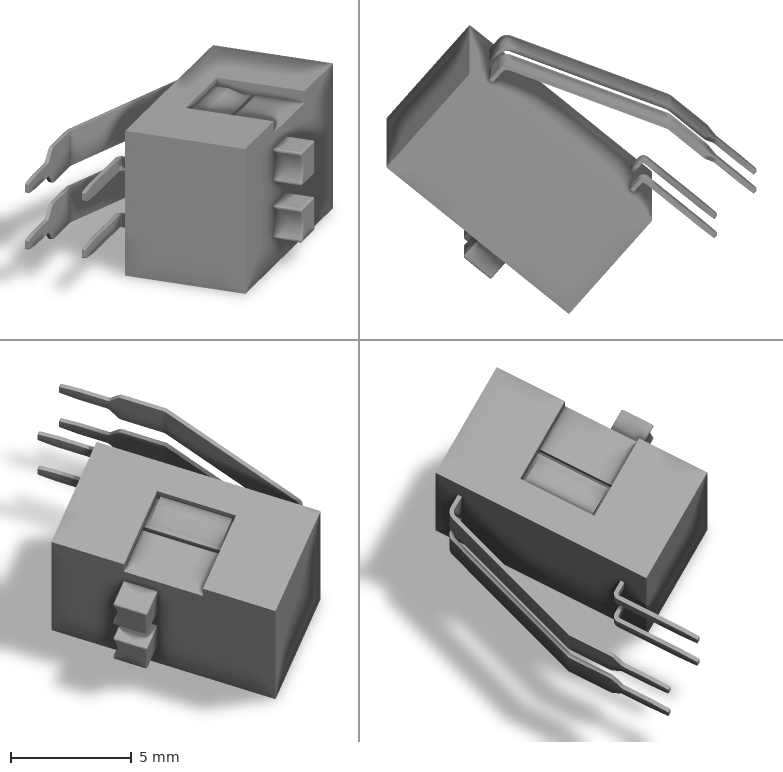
import cadquery as cq
import math


HOUSING_X = 5.34
HOUSING_Y = 9.9
HOUSING_Z = 6.5

PITCH = 2.54
POSITION_HEIGHTS = [-PITCH / 2, PITCH / 2]

POCKET_START_X = 1.43
POCKET_Y = 3.49
POCKET_DEPTH = 0.54

GROOVE_START_X = 2.95
GROOVE_WIDTH = 0.19
GROOVE_DEPTH = 0.25

WEDGE_Y = 3.17
WEDGE_HEIGHT = 0.22
WEDGE_LEVEL_LENGTH = 0.57
WEDGE_RAMP_LENGTH = 0.76

KNOB_SIDE = 1.5
KNOB_REACH = 1.25
KNOB_Y = -1.02
KNOB_ROUND = 0.08
SCOOP_Z = 1.27
SCOOP_DEPTH = 0.18

SHEET = 0.18
OVERALL_Y = 12.74
TIP_Y = HOUSING_Y / 2 - OVERALL_Y
PIN_WIDTH = 0.57
TIP_WIDTH = 0.42
TAPER_LENGTH = 0.83
TIP_ROUND = 0.08

LONG_OUTER_X = -3.34
LONG_ROOT_Y = 3.9
LONG_KNEE_Y = -3.08
LONG_ELBOW_X = -0.94
LONG_BEND_RADIUS = 0.25
LONG_WIDTH = 1.58
SHOULDER_START = 2.68
SHOULDER_END = 2.2
SHOULDER_ROUND = 0.25

SHORT_OUTER_X = -0.8
SHORT_ROOT_Y = -3.75
SHORT_BEND_RADIUS = 0.1


def cut_pocket(body):
    """Open the top pocket, sink the groove in its floor and leave the wedge standing."""
    floor_z = HOUSING_Z / 2 - POCKET_DEPTH
    pocket = cq.Workplane("XY").box(
        HOUSING_X - POCKET_START_X, POCKET_Y, POCKET_DEPTH, centered=(False, True, False)
    ).translate((POCKET_START_X, 0, floor_z))
    groove = cq.Workplane("XY").box(
        GROOVE_WIDTH, POCKET_Y, GROOVE_DEPTH, centered=(False, True, False)
    ).translate((GROOVE_START_X, 0, floor_z - GROOVE_DEPTH))
    ramp_start_x = POCKET_START_X + WEDGE_LEVEL_LENGTH
    ramp_end_x = ramp_start_x + WEDGE_RAMP_LENGTH
    wedge = (
        cq.Workplane("XZ")
        .moveTo(POCKET_START_X, floor_z)
        .lineTo(POCKET_START_X, floor_z + WEDGE_HEIGHT)
        .lineTo(ramp_start_x, floor_z + WEDGE_HEIGHT)
        .lineTo(ramp_end_x, floor_z)
        .close()
        .extrude(WEDGE_Y / 2, both=True)
    )
    return body.cut(pocket).cut(groove).union(wedge)


def make_knob(height):
    """Square knob with rounded outer edges and a cylindrical scoop along its -Y face."""
    knob = (
        cq.Workplane("YZ", origin=(HOUSING_X, KNOB_Y, height))
        .rect(KNOB_SIDE, KNOB_SIDE)
        .extrude(KNOB_REACH)
        .edges("|X")
        .fillet(KNOB_ROUND)
    )
    scoop_radius = ((SCOOP_Z / 2) ** 2 + SCOOP_DEPTH**2) / (2 * SCOOP_DEPTH)
    scoop_y = KNOB_Y - KNOB_SIDE / 2 + SCOOP_DEPTH - scoop_radius
    scoop = (
        cq.Workplane("YZ", origin=(HOUSING_X, scoop_y, height))
        .circle(scoop_radius)
        .extrude(KNOB_REACH)
    )
    return knob.cut(scoop).faces(">X").edges().fillet(KNOB_ROUND)


def make_housing():
    """Block with its top pocket and the two knobs."""
    body = cq.Workplane("XY").box(HOUSING_X, HOUSING_Y, HOUSING_Z, centered=(False, True, True))
    body = cut_pocket(body)
    for height in POSITION_HEIGHTS:
        body = body.union(make_knob(height))
    return body


def inner_corner(before, corner, after):
    """Corner of the inner face, one sheet thickness to the right of the path before-corner-after."""
    angle_in = math.atan2(corner[1] - before[1], corner[0] - before[0])
    angle_out = math.atan2(after[1] - corner[1], after[0] - corner[0])
    towards_inside = (angle_in + angle_out) / 2 - math.pi / 2
    reach = SHEET / math.cos((angle_out - angle_in) / 2)
    return (
        corner[0] + reach * math.cos(towards_inside),
        corner[1] + reach * math.sin(towards_inside),
    )


def make_strip(outer_path, width, bend_radius):
    """Bent sheet strip from the tip up to the housing; the path follows its outer face in XY."""
    outer_corners = outer_path[1:-1]
    inner_corners = [inner_corner(*outer_path[i : i + 3]) for i in range(len(outer_corners))]
    tip_x, tip_y = outer_path[0]
    root_x, root_y = outer_path[-1]
    inner_path = [(tip_x + SHEET, tip_y), *inner_corners, (root_x, root_y - SHEET)]
    strip = cq.Workplane("XY").polyline(outer_path + inner_path[::-1]).close().extrude(width / 2, both=True)
    for corners, radius in ((outer_corners, bend_radius + SHEET), (inner_corners, bend_radius)):
        for x, y in corners:
            strip = strip.edges(cq.NearestToPointSelector((x, y, 0))).fillet(radius)
    return strip


def make_blank(half_outline, rounds):
    """Plate symmetric in Z that trims a strip; rounds pairs outline points with fillet radii."""
    mirrored = [(y, -z) for y, z in reversed(half_outline)]
    reach = -LONG_OUTER_X
    blank = cq.Workplane("YZ", origin=(-reach, 0, 0)).polyline(half_outline + mirrored).close().extrude(reach)
    for (y, z), radius in rounds:
        for side in (-1, 1):
            edge = cq.NearestToPointSelector((-reach / 2, y, side * z))
            blank = blank.edges(edge).fillet(radius)
    return blank


def make_long_terminal():
    """Wide strip that slopes away from the housing and narrows to a pin below its shoulders."""
    path = [
        (LONG_OUTER_X, TIP_Y),
        (LONG_OUTER_X, LONG_KNEE_Y),
        (LONG_ELBOW_X, LONG_ROOT_Y),
        (0, LONG_ROOT_Y),
    ]
    tip = (TIP_Y, TIP_WIDTH / 2)
    neck = (TIP_Y + SHOULDER_END, PIN_WIDTH / 2)
    shoulder = (TIP_Y + SHOULDER_START, LONG_WIDTH / 2)
    half_outline = [
        tip,
        (TIP_Y + TAPER_LENGTH, PIN_WIDTH / 2),
        neck,
        shoulder,
        (LONG_ROOT_Y, LONG_WIDTH / 2),
    ]
    rounds = [(tip, TIP_ROUND), (neck, SHOULDER_ROUND), (shoulder, SHOULDER_ROUND)]
    return make_strip(path, LONG_WIDTH, LONG_BEND_RADIUS).intersect(make_blank(half_outline, rounds))


def make_short_terminal():
    """Narrow strip with a single right-angle bend and a tapered tip."""
    path = [(SHORT_OUTER_X, TIP_Y), (SHORT_OUTER_X, SHORT_ROOT_Y), (0, SHORT_ROOT_Y)]
    tip = (TIP_Y, TIP_WIDTH / 2)
    half_outline = [
        tip,
        (TIP_Y + TAPER_LENGTH, PIN_WIDTH / 2),
        (SHORT_ROOT_Y, PIN_WIDTH / 2),
    ]
    blank = make_blank(half_outline, [(tip, TIP_ROUND)])
    return make_strip(path, PIN_WIDTH, SHORT_BEND_RADIUS).intersect(blank)


housing = make_housing()
terminals = []
for position_height in POSITION_HEIGHTS:
    for terminal in (make_long_terminal(), make_short_terminal()):
        terminals.append(terminal.translate((0, 0, position_height)))

result = cq.Compound.makeCompound([housing.val(), *[terminal.val() for terminal in terminals]])